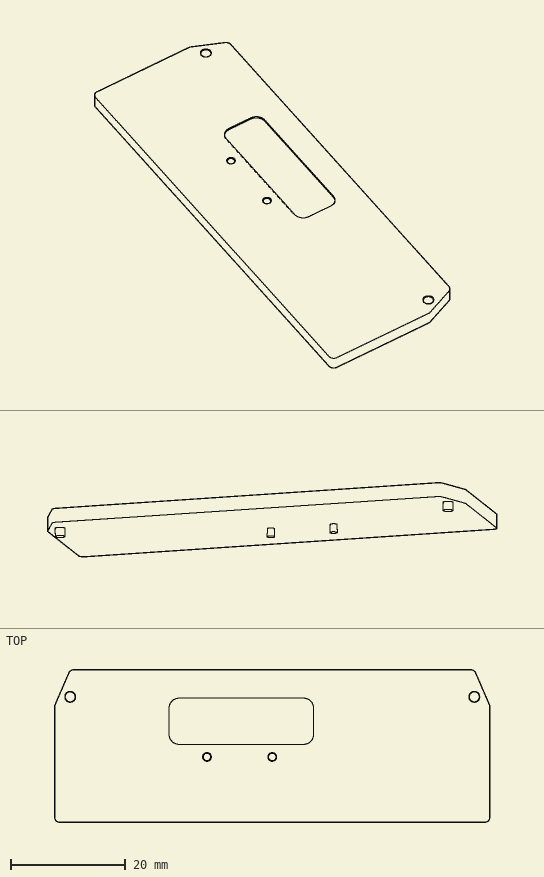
import cadquery as cq

length = 76.0
width = 26.7
total_height = 3.95
plate_thickness = 2.5
corner_radius = 1.0
bevel_x = 2.7
bevel_y = 6.3

recess_length = 25.2
recess_width = 8.05
recess_x = -5.4
recess_y = 4.3
recess_depth = 0.3
recess_radius = 1.75

pin_length = total_height - plate_thickness
root_length = 0.7
taper_length = 0.2
hole_depth = 2.0
mouth_depth = 0.15
outer_root_diameter = 1.75
outer_tip_diameter = 1.7
outer_hole_diameter = 1.75
outer_mouth_diameter = 1.9
outer_pin_x = 35.3
outer_pin_y = 8.6
inner_root_diameter = 1.2
inner_tip_diameter = 1.3
inner_hole_diameter = 1.3
inner_mouth_diameter = 1.5
inner_pin_spacing = 11.4
inner_pin_y = -1.9

outer_points = [(-outer_pin_x, outer_pin_y), (outer_pin_x, outer_pin_y)]
inner_points = [(-inner_pin_spacing, inner_pin_y), (0, inner_pin_y)]


def make_plate():
    """Rectangle with its two rear corners bevelled and every corner rounded."""
    half_length = length / 2
    half_width = width / 2
    outline = [
        (-half_length, -half_width),
        (half_length, -half_width),
        (half_length, half_width - bevel_y),
        (half_length - bevel_x, half_width),
        (-half_length + bevel_x, half_width),
        (-half_length, half_width - bevel_y),
    ]
    plate = cq.Workplane("XY").polyline(outline).close().extrude(plate_thickness)
    return plate.edges("|Z").fillet(corner_radius)


def make_recess():
    """Rounded rectangular cutter reaching down from the top face."""
    return (
        cq.Workplane("XY", origin=(recess_x, recess_y, plate_thickness))
        .rect(recess_length, recess_width)
        .extrude(-recess_depth)
        .edges("|Z")
        .fillet(recess_radius)
    )


def make_pin(root_diameter, tip_diameter):
    """Pin hanging from the bottom face, with a short taper between root and tip."""
    root_radius = root_diameter / 2
    tip_radius = tip_diameter / 2
    profile = [
        (0, 0),
        (root_radius, 0),
        (root_radius, -root_length),
        (tip_radius, -root_length - taper_length),
        (tip_radius, -pin_length),
        (0, -pin_length),
    ]
    return cq.Workplane("XZ").polyline(profile).close().revolve(360, (0, 0), (0, 1))


def make_hole(hole_diameter, mouth_diameter):
    """Cutter for a blind hole in the top face with a small countersink."""
    hole_radius = hole_diameter / 2
    profile = [
        (0, plate_thickness),
        (mouth_diameter / 2, plate_thickness),
        (hole_radius, plate_thickness - mouth_depth),
        (hole_radius, plate_thickness - hole_depth),
        (0, plate_thickness - hole_depth),
    ]
    return cq.Workplane("XZ").polyline(profile).close().revolve(360, (0, 0), (0, 1))


def add_pins(body, points, pin, hole):
    """Add a pin and the hole above it at each point."""
    for x, y in points:
        body = body.union(pin.translate((x, y, 0)))
        body = body.cut(hole.translate((x, y, 0)))
    return body


outer_pin = make_pin(outer_root_diameter, outer_tip_diameter)
outer_hole = make_hole(outer_hole_diameter, outer_mouth_diameter)
inner_pin = make_pin(inner_root_diameter, inner_tip_diameter)
inner_hole = make_hole(inner_hole_diameter, inner_mouth_diameter)

result = make_plate().cut(make_recess())
result = add_pins(result, outer_points, outer_pin, outer_hole)
result = add_pins(result, inner_points, inner_pin, inner_hole)